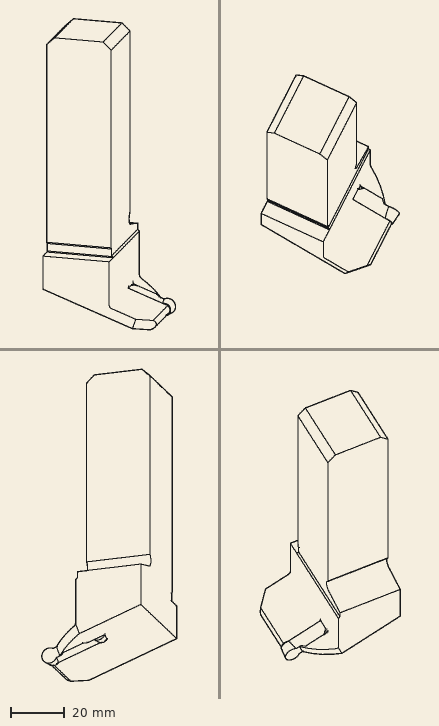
import cadquery as cq
import math

height = 111.7
reach = 42.7
depth = 40.1

shank = 25.0
shank_front = 4.9
shank_back = shank_front + shank
top_chamfer_x = 3.1
top_chamfer_z = 2.9

front_shoulder_z = 27.9
front_relief_depth = 0.7
front_relief_top = 31.8
front_foot_chamfer = 0.3
back_shoulder_z = 30.9
back_groove_bottom_y = 31.4
back_groove_bottom = 33.2
back_groove_mid = 35.8
back_groove_top = 38.2
back_groove_depth = 1.1

head_step = 0.7
head_width = shank + head_step
slope = math.radians(19.6)
arm_thickness = 4.0
arm_half = arm_thickness / 2
corner_fillet = 1.3
arm_end_radius = 2.1

corner_cut_start = -4.6
corner_cut_y = 7.5
relief_start = -15.6
relief_mid = (-8.8, 35.4)
relief_end = -3.7

tip_radius = 3.0
tip_small_radius = 2.5
tip_spacing = 20.2
insert_front = 25.2
insert_thickness = shank_back - insert_front
tab_thickness = 1.3
tab_half_length = 4.0
tab_middle = -9.7
tab_base_half_length = tab_half_length + tab_thickness

tip_x = reach - tip_radius
tip_z = tip_radius
along = (math.cos(slope), -math.sin(slope))
square = (math.sin(slope), math.cos(slope))


def arm_point(distance, offset):
    """XZ point at a distance along the arm and an offset square to it, from the tip centre."""
    return (
        tip_x + distance * along[0] + offset * square[0],
        tip_z + distance * along[1] + offset * square[1],
    )


def arm_line_z(x, offset):
    """Height at x of the line parallel to the arm axis at the given offset."""
    return tip_z + offset / math.cos(slope) - (x - tip_x) * math.tan(slope)


def arm_plane(y):
    """Sketch plane at y, centred on the leading tip with its x direction along the arm."""
    return cq.Plane(origin=(tip_x, y, tip_z), xDir=(along[0], 0, along[1]), normal=(0, -1, 0))


def side_outline():
    """Shank, head and round-ended arm in the XZ plane, through the full depth."""
    end_distance = math.sqrt(arm_end_radius**2 - arm_half**2)
    inner_corner_z = arm_line_z(head_width, arm_half)
    outline = (
        cq.Workplane("XZ")
        .moveTo(0, arm_line_z(0, -arm_half))
        .lineTo(*arm_point(end_distance, -arm_half))
        .threePointArc(arm_point(arm_end_radius, 0), arm_point(end_distance, arm_half))
        .lineTo(head_width, inner_corner_z)
        .lineTo(head_width, front_shoulder_z)
        .lineTo(shank, front_shoulder_z + head_step)
        .lineTo(shank, height - top_chamfer_z)
        .lineTo(shank - top_chamfer_x, height)
        .lineTo(top_chamfer_x, height)
        .lineTo(0, height - top_chamfer_z)
        .close()
        .extrude(-depth)
    )
    corner = cq.selectors.NearestToPointSelector((head_width, depth / 2, inner_corner_z))
    return outline.edges(corner).fillet(corner_fillet)


def shoulder_outline():
    """Shank and shoulders in the YZ plane, through the full reach."""
    relief_y = shank_front + front_relief_depth
    return (
        cq.Workplane("YZ")
        .moveTo(0, 0)
        .lineTo(depth, 0)
        .lineTo(depth, back_shoulder_z)
        .lineTo(back_groove_bottom_y, back_groove_bottom)
        .threePointArc((shank_back - back_groove_depth, back_groove_mid), (shank_back, back_groove_top))
        .lineTo(shank_back, height)
        .lineTo(shank_front, height)
        .lineTo(shank_front, front_relief_top)
        .lineTo(relief_y, front_relief_top - front_relief_depth)
        .lineTo(relief_y, front_shoulder_z + front_foot_chamfer)
        .lineTo(relief_y - front_foot_chamfer, front_shoulder_z)
        .lineTo(0, front_shoulder_z)
        .close()
        .extrude(reach)
    )


def along_arm_plane(y):
    """Sketch plane lying along the arm, with Y up the sketch and its origin at the given y."""
    return cq.Plane(
        origin=(tip_x, y, tip_z),
        xDir=(along[0], 0, along[1]),
        normal=(square[0], 0, square[1]),
    )


def corner_cut():
    """Wedge taken off the front corner of the arm, square to its slope."""
    return (
        cq.Workplane(along_arm_plane(0))
        .moveTo(corner_cut_start, 0)
        .lineTo(arm_end_radius, corner_cut_y)
        .lineTo(arm_end_radius, 0)
        .close()
        .extrude(arm_thickness, both=True)
    )


def back_relief():
    """Curved clearance behind the insert, square to the slope of the arm."""
    return (
        cq.Workplane(along_arm_plane(0))
        .moveTo(relief_start, depth)
        .threePointArc(relief_mid, (relief_end, shank_back))
        .lineTo(tip_radius, shank_back)
        .lineTo(tip_radius, depth)
        .close()
        .extrude(arm_thickness, both=True)
    )


def insert_tab():
    """Locating tab with sloping ends on the back face of the insert."""
    return (
        cq.Workplane(along_arm_plane(shank_back))
        .polyline([
            (tab_middle - tab_base_half_length, 0),
            (tab_middle + tab_base_half_length, 0),
            (tab_middle + tab_half_length, tab_thickness),
            (tab_middle - tab_half_length, tab_thickness),
        ])
        .close()
        .extrude(arm_half, both=True)
    )


def make_insert():
    """Flat bar with a tapered round cutting tip at each end and a tab on its back."""
    body = (
        cq.Workplane(arm_plane(insert_front))
        .center(-tip_spacing / 2, 0)
        .rect(tip_spacing, arm_thickness)
        .extrude(-insert_thickness)
    )
    for distance in (0, -tip_spacing):
        tip = (
            cq.Workplane(arm_plane(insert_front))
            .center(distance, 0)
            .circle(tip_small_radius)
            .workplane(offset=-insert_thickness)
            .circle(tip_radius)
            .loft()
        )
        body = body.union(tip)
    return body.union(insert_tab())


def fillet_clearance():
    """Opening through the inner corner fillet above the insert and its tab."""
    corner_z = arm_line_z(head_width, arm_half)
    return cq.Workplane("XY").box(
        2 * corner_fillet,
        insert_thickness + tab_thickness,
        2 * corner_fillet,
        centered=(False, False, True),
    ).translate((head_width, insert_front, corner_z))


def make_holder(insert):
    """Tool holder with a pocket matching the insert."""
    blank = side_outline().intersect(shoulder_outline())
    trimmed = blank.cut(corner_cut()).cut(back_relief())
    return trimmed.cut(fillet_clearance()).cut(insert)


insert = make_insert()
holder = make_holder(insert)

result = cq.Compound.makeCompound([holder.val(), insert.val()])